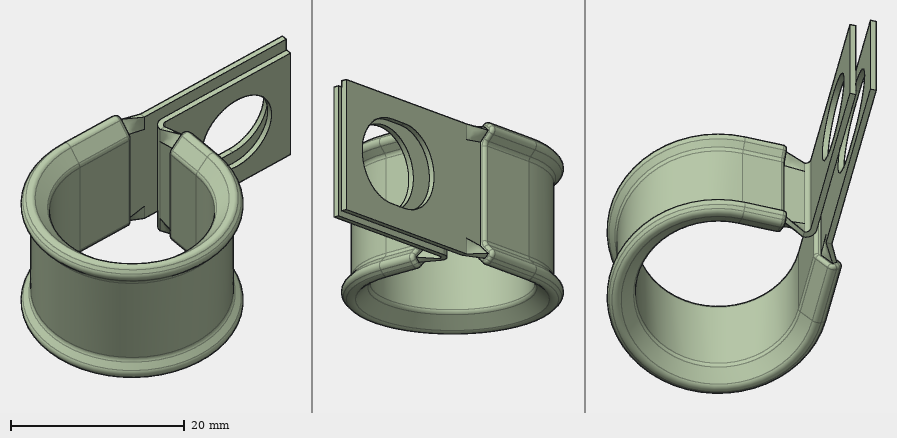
import cadquery as cq
import math


overall_length = 44.15

rim_radius = 25.65 / 2
half_height = 17.25 / 2
bore_radius = 9.55
body_radius = 11.7
flare_start = 6.1
wall_fillet = 0.75
loop_angle = 270
end_fillet = 0.45
side_leg_end = 7.75
top_leg_end = -5.05

strap_inner = 10.3
strap_thickness = 0.7
strap_outer = strap_inner + strap_thickness
strap_half_width = 15.85 / 2
fold_height = 6.0
fold_shift = 0.3
fold_reach = 1.2

long_tab_end = overall_length - rim_radius
short_tab_end = 30.2
short_tab_face = -8.85
tab_bend_radius = 1.33
hole_y = 22.2
hole_diameter = 10.35
slot_length = 12.65

tab_bend_x = short_tab_face + tab_bend_radius
fold_length = top_leg_end - tab_bend_x


def cushion_sketch():
    """Wall section with radius along the sketch X and height along the sketch Y."""
    outer_line = body_radius - flare_start
    round_cut = 2 * (math.sqrt(2) - 1) * wall_fillet
    tip_sum = 2 * rim_radius - outer_line + round_cut
    inner_line = tip_sum - 2 * half_height - round_cut
    upper = [
        (bore_radius, bore_radius - inner_line),
        ((tip_sum + inner_line) / 2, (tip_sum - inner_line) / 2),
        ((tip_sum + outer_line) / 2, (tip_sum - outer_line) / 2),
        (body_radius, flare_start),
    ]
    lower = [(r, -z) for r, z in reversed(upper)]
    corners = upper + lower
    return cq.Sketch().polygon(corners + corners[:1]).vertices().fillet(wall_fillet)


side_frame = cq.Plane(origin=(0, 0, 0), xDir=(-1, 0, 0), normal=(0, 1, 0))
top_frame = cq.Plane(origin=(0, 0, 0), xDir=(0, 1, 0), normal=(-1, 0, 0))


def cushion():
    section = cushion_sketch()
    axis_start = (0, 0, 0)
    axis_end = (0, 1, 0)
    loop = cq.Workplane(side_frame).placeSketch(section).revolve(loop_angle, axis_start, axis_end)
    side_leg = (
        cq.Workplane(side_frame).placeSketch(section).extrude(side_leg_end)
        .faces(">Y").edges().fillet(end_fillet)
    )
    top_leg = (
        cq.Workplane(top_frame).placeSketch(section).extrude(-top_leg_end)
        .faces("<X").edges().fillet(end_fillet)
    )
    return loop.union(side_leg).union(top_leg)


def strap_section(crease, tip, reach):
    """Strap section; beyond the crease height its edges stand out by the given reach."""
    fold_angle = math.atan2(reach, tip - crease)
    edge_out = strap_thickness * math.cos(fold_angle)
    edge_up = strap_thickness * math.sin(fold_angle)
    crease_up = strap_thickness * math.tan(fold_angle / 2)
    upper = [
        (strap_inner, crease + crease_up),
        (strap_outer + reach - edge_out, tip + edge_up),
        (strap_outer + reach, tip),
        (strap_outer, crease),
    ]
    return upper + [(r, -z) for r, z in reversed(upper)]


def fold(frame, start):
    """Strap piece whose folded edges flatten out on the way from the cushion to the tab."""
    crease = fold_height + fold_shift
    folded = strap_section(crease, crease + fold_reach, fold_reach)
    flat = strap_section(fold_height, strap_half_width, 0)
    return (
        cq.Workplane(frame).workplane(offset=start).polyline(folded).close()
        .workplane(offset=fold_length).polyline(flat).close()
        .loft(ruled=True)
    )


def upright_plate(outline):
    """Extrude an XY outline over the strap width."""
    return outline.close().extrude(strap_half_width, both=True)


def long_tab():
    start = side_leg_end + fold_length
    tab = upright_plate(
        cq.Workplane("XY").moveTo(-strap_outer, start).lineTo(-strap_outer, long_tab_end)
        .lineTo(-strap_inner, long_tab_end).lineTo(-strap_inner, start)
    )
    slot = (
        cq.Workplane("YZ").center(hole_y, 0).slot2D(slot_length, hole_diameter)
        .extrude(-rim_radius)
    )
    return tab.cut(slot)


def short_tab():
    inside_face = short_tab_face + strap_thickness
    inside_radius = tab_bend_radius - strap_thickness
    bend_y = strap_inner + tab_bend_radius
    bend_middle = math.sqrt(0.5)
    tab = upright_plate(
        cq.Workplane("XY").moveTo(tab_bend_x, strap_inner)
        .threePointArc(
            (tab_bend_x - bend_middle * tab_bend_radius, bend_y - bend_middle * tab_bend_radius),
            (short_tab_face, bend_y),
        )
        .lineTo(short_tab_face, short_tab_end).lineTo(inside_face, short_tab_end)
        .lineTo(inside_face, bend_y)
        .threePointArc(
            (tab_bend_x - bend_middle * inside_radius, bend_y - bend_middle * inside_radius),
            (tab_bend_x, strap_outer),
        )
    )
    hole = cq.Workplane("YZ").center(hole_y, 0).circle(hole_diameter / 2).extrude(-rim_radius)
    return tab.cut(hole)


result = (
    cushion()
    .union(fold(side_frame, side_leg_end))
    .union(fold(top_frame, -top_leg_end))
    .union(long_tab())
    .union(short_tab())
)